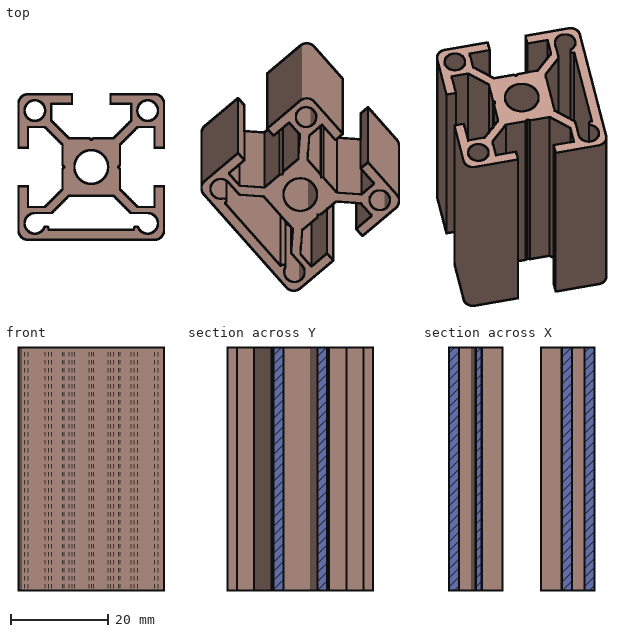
import cadquery as cq
import math

side = 30.0
length = 50.0
corner_radius = 2.0
half_side = side / 2

slot_opening = 7.9
lip_thickness = 2.0
slot_half_width = 8.2
core_half_width = 5.95
web_offset = 1.35
groove_half_width = 0.45
groove_depth = 0.35

core_bore_diameter = 6.9
corner_bore_radius = 2.1
corner_bore_offset = 11.6

closed_wall = 2.1
nib_radius = 0.5
nib_tip_height = 0.7


def slot_profile():
    """T-slot on the +Y side: mouth, undercut, sloped webs and centring groove."""
    mouth = slot_opening / 2
    undercut = half_side - lip_thickness
    right_side = [
        (groove_half_width, core_half_width),
        (core_half_width - web_offset, core_half_width),
        (slot_half_width, slot_half_width + web_offset),
        (slot_half_width, undercut),
        (mouth, undercut),
        (mouth, half_side),
    ]
    left_side = [(-x, y) for x, y in reversed(right_side)]
    groove_bottom = (0, core_half_width - groove_depth)
    return cq.Workplane("XY").polyline([groove_bottom] + right_side + left_side).close()


def chamber_profile():
    """Closed -Y chamber, with round ends that blend into a nib beside each end."""
    floor = -half_side + closed_wall
    ceiling = -corner_bore_offset + corner_bore_radius
    core_face = -core_half_width
    web_top = core_half_width - web_offset
    web_bottom = -ceiling - web_offset

    nib_y = floor + nib_tip_height - nib_radius
    centre_distance = corner_bore_radius + nib_radius
    rise = -corner_bore_offset - nib_y
    run = math.sqrt(centre_distance**2 - rise**2)
    nib_x = corner_bore_offset - run
    tangent_x = nib_x + nib_radius * run / centre_distance
    tangent_y = nib_y + nib_radius * rise / centre_distance
    nib_foot = nib_x - math.sqrt(nib_radius**2 - (floor - nib_y) ** 2)
    nib_tip = nib_y + nib_radius
    end_x = corner_bore_offset + corner_bore_radius

    return (
        cq.Workplane("XY")
        .moveTo(-nib_foot, floor)
        .lineTo(nib_foot, floor)
        .threePointArc((nib_x, nib_tip), (tangent_x, tangent_y))
        .threePointArc((end_x, -corner_bore_offset), (corner_bore_offset, ceiling))
        .lineTo(web_bottom, ceiling)
        .lineTo(web_top, core_face)
        .lineTo(-web_top, core_face)
        .lineTo(-web_bottom, ceiling)
        .lineTo(-corner_bore_offset, ceiling)
        .threePointArc((-end_x, -corner_bore_offset), (-tangent_x, tangent_y))
        .threePointArc((-nib_x, nib_tip), (-nib_foot, floor))
        .close()
    )


bar = cq.Workplane("XY").rect(side, side).extrude(length).edges("|Z").fillet(corner_radius)

slot = slot_profile().extrude(length)
for angle in (0, 90, -90):
    bar = bar.cut(slot.rotate((0, 0, 0), (0, 0, 1), angle))

bar = bar.cut(chamber_profile().extrude(length))
bar = bar.cut(cq.Workplane("XY").circle(core_bore_diameter / 2).extrude(length))
corner_centres = [(side_sign * corner_bore_offset, corner_bore_offset) for side_sign in (-1, 1)]
corner_bores = cq.Workplane("XY").pushPoints(corner_centres).circle(corner_bore_radius).extrude(length)
result = bar.cut(corner_bores)